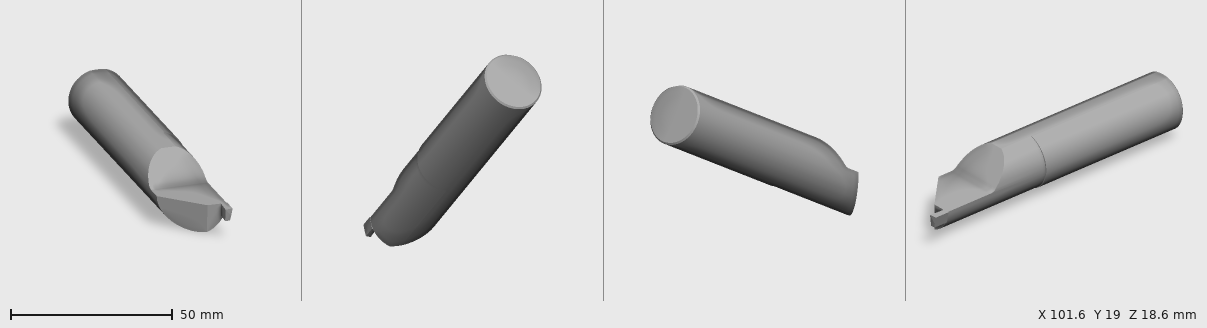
import cadquery as cq
import math

length = 101.6
diameter = 19.0
radius = diameter / 2
rear_chamfer = 0.5

flat_depth = 0.36
flat_height = radius - flat_depth

relief_start = 56.3
relief_shift = 0.4

ramp_start = 68.4
ramp_angle = 45.0
ramp_fillet = 3.0
nose_end = 96.3
nose_clearance = 0.15
nose_land_y = 2.8

tip_outer_y = 9.3
tip_root_y = 7.2
tip_corner_y = 6.9
tip_depth = 4.0
tip_end_slant = 0.3
tip_end_clearance = 0.4
tip_side_clearance = 0.8
tip_overlap = 0.2
tip_root_fillet = 0.3

margin = 5.1


def round_bar(start, end, centre_y):
    return cq.Workplane("YZ", origin=(start, centre_y, 0)).circle(radius).extrude(end - start)


def side_profile(points):
    """Extrude an XZ outline across the full width of the bar."""
    return cq.Workplane("XZ").polyline(points).close().extrude(radius + margin, both=True)


def make_body():
    shank = round_bar(0, relief_start, 0).faces("<X").chamfer(rear_chamfer)
    front = round_bar(relief_start, nose_end, 0)
    front = front.intersect(round_bar(relief_start, nose_end, -relief_shift))
    return shank.union(front)


def longitudinal_envelope():
    """Top flat, filleted ramp, nose top and slightly inclined end face."""
    ramp_end = ramp_start + flat_height / math.tan(math.radians(ramp_angle))
    envelope = side_profile([
        (0, -radius),
        (0, flat_height),
        (ramp_start, flat_height),
        (ramp_end, 0),
        (nose_end, 0),
        (nose_end - nose_clearance, -radius),
    ])
    ramp_foot = cq.selectors.NearestToPointSelector((ramp_end, 0, 0))
    return envelope.edges(ramp_foot).fillet(ramp_fillet)


def nose_bevel():
    """Vertical 45 degree cut across the -Y corner of the nose."""
    reach = nose_land_y + radius + margin
    return (
        cq.Workplane("XY", origin=(0, 0, -radius - margin))
        .moveTo(nose_end + margin, nose_land_y + margin)
        .lineTo(nose_end - reach, nose_land_y - reach)
        .lineTo(nose_end + margin, nose_land_y - reach)
        .close()
        .extrude(diameter + 2 * margin)
    )


def make_tip():
    root = nose_end - tip_overlap
    tip = (
        cq.Workplane("XY")
        .moveTo(root, tip_outer_y)
        .lineTo(length - tip_end_slant, tip_outer_y)
        .lineTo(length, tip_corner_y)
        .lineTo(nose_end + tip_root_fillet, tip_root_y)
        .radiusArc((nose_end, tip_root_y - tip_root_fillet), -tip_root_fillet)
        .lineTo(root, tip_root_y - tip_root_fillet)
        .close()
        .extrude(-tip_depth)
    )
    end_envelope = side_profile([
        (root, 0),
        (length, 0),
        (length - tip_end_clearance, -tip_depth),
        (root, -tip_depth),
    ])
    side_envelope = (
        cq.Workplane("YZ", origin=(root, 0, 0))
        .polyline([
            (0, 0),
            (tip_outer_y, 0),
            (tip_outer_y - tip_side_clearance, -tip_depth),
            (0, -tip_depth),
        ])
        .close()
        .extrude(length - root)
    )
    return tip.intersect(end_envelope).intersect(side_envelope)


body = make_body().intersect(longitudinal_envelope()).cut(nose_bevel())
result = body.union(make_tip())